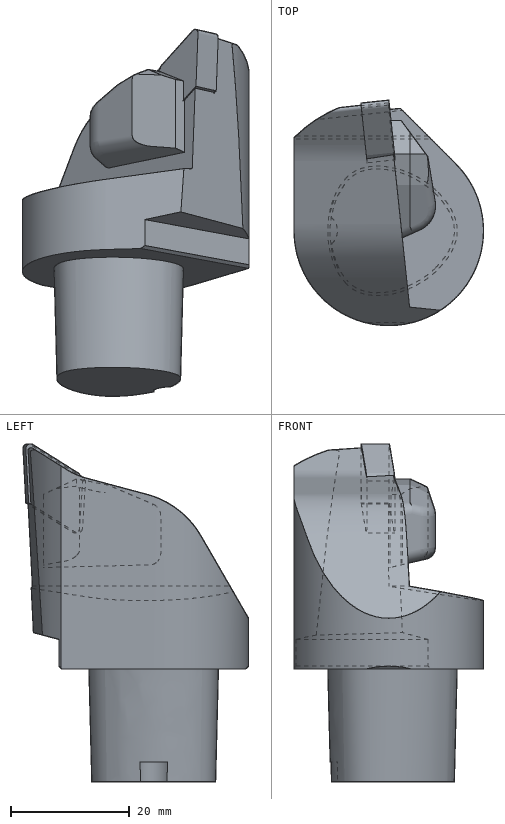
import cadquery as cq
import math

flange_radius = 16.0
seat_chamfer = 0.5
shank_length = 19.0
shank_mean_radius = 10.93
lobe_height = 0.63
shank_taper = 1 / 40
crest_half_angle = 22.5
steps_per_curve = 6
key_groove_radius = 3.0
key_groove_width = 4.75
key_groove_height = 3.35

back_slope = 60.0
top_slope = 15.0
tip_slope = 32.0
shoulder_radius = 15.0
shoulder_end_y = 1.15
shoulder_end_z = 29.5
valley_start_y = 11.7
valley_radius = 10.0
overhang_z = 5.0
overhang_slope = 15.0

swing_radius = 22.4
swing_middle = 110.0
insert_turn = 6.0
platform_x = 2.15
platform_z = 14.0
platform_slope = 10.0
end_lean = 3.0
end_reference_y = 21.1
end_reference_z = 27.8
tip_fillet = 0.5
tip_edge_point = (-3.0, 21.3, 37.6)

insert_side = 10.65
insert_angle = 55.0
insert_thickness = 4.76
insert_x = -2.43
insert_lean = 3.0
heel_length = 1.2
heel_slope = 48.0
nose_radius = 0.8
nose_y = 21.95
nose_z = 38.0

clamp_heel_y = -2.2
clamp_heel_angle = 24.0
clamp_outer_x = 8.4
clamp_shoulder_x = 6.6
clamp_shoulder_y = 12.5
clamp_toe_x = 2.1
clamp_toe_y = 18.6
clamp_corner_radius = 4.5
clamp_bottom_z = 17.1
clamp_bottom_slope = 13.0
clamp_heel_z = 26.85
clamp_bend_y = 7.7
clamp_bend_z = 31.05
clamp_ridge_y = 13.0
clamp_ridge_z = 32.1
clamp_toe_z = 29.5
clamp_crest_x = 3.6
clamp_fall = 25.0
clamp_edge_fillet = 2.0

reach = 60.0


def sin(degrees):
    return math.sin(math.radians(degrees))


def cos(degrees):
    return math.cos(math.radians(degrees))


def tan(degrees):
    return math.tan(math.radians(degrees))


def turned(shape):
    """Turn a shape about Z from the insert frame into the part frame."""
    return shape.rotate((0, 0, 0), (0, 0, 1), insert_turn)


def lobe_point(angle, mean_radius):
    """Point of the constant-width three-lobed outline with its first lobe on +X."""
    support = mean_radius + lobe_height * cos(3 * angle)
    slope = -3 * lobe_height * sin(3 * angle)
    return (
        support * cos(angle) - slope * sin(angle),
        support * sin(angle) + slope * cos(angle),
    )


def lobe_wire(mean_radius, z):
    """Closed outline of six curves: a crest and a flank for each lobe."""
    edges = []
    for lobe in (0, 120, 240):
        spans = (
            (lobe - crest_half_angle, lobe + crest_half_angle),
            (lobe + crest_half_angle, lobe + 120 - crest_half_angle),
        )
        for first, last in spans:
            angles = [first + (last - first) * step / steps_per_curve for step in range(steps_per_curve + 1)]
            points = [cq.Vector(*lobe_point(angle, mean_radius), z) for angle in angles]
            ends = [cq.Vector(-sin(angle), cos(angle), 0) for angle in (first, last)]
            edges.append(cq.Edge.makeSpline(points, tangents=ends))
    return cq.Wire.assembleEdges(edges)


def make_shank():
    """Tapered lobed shank with a key groove at its lower end on the -X side."""
    end_radius = shank_mean_radius - shank_length * shank_taper
    wires = [lobe_wire(shank_mean_radius, 0), lobe_wire(end_radius, -shank_length)]
    shank = cq.Workplane(cq.Solid.makeLoft(wires, True))
    surface_x = -(end_radius - lobe_height)
    groove_x = surface_x - math.sqrt(key_groove_radius**2 - (key_groove_width / 2) ** 2)
    groove = (
        cq.Workplane("XY", origin=(groove_x, 0, -shank_length))
        .circle(key_groove_radius)
        .extrude(key_groove_height)
    )
    return shank.cut(groove)


def make_blank():
    """Upright prism: round at -Y, flat at -X, swing arc at +Y and a 45 degree flank."""
    corner_y = math.sqrt(swing_radius**2 - flange_radius**2)
    swing_point = (swing_radius * cos(swing_middle), swing_radius * sin(swing_middle))
    flank = flange_radius * cos(45)
    return (
        cq.Workplane("XY")
        .moveTo(-flange_radius, 0)
        .lineTo(-flange_radius, corner_y)
        .threePointArc(swing_point, (0, swing_radius))
        .lineTo(2 * flank - swing_radius, swing_radius)
        .lineTo(flank, flank)
        .threePointArc((flank, -flank), (0, -flange_radius))
        .threePointArc((-flank, -flank), (-flange_radius, 0))
        .close()
        .extrude(nose_z)
    )


def make_side_profile():
    """Side profile of flange and head, swept along X."""
    center_y = shoulder_end_y + shoulder_radius * sin(top_slope)
    center_z = shoulder_end_z - shoulder_radius * cos(top_slope)

    def on_shoulder(slope):
        return (center_y - shoulder_radius * sin(slope), center_z + shoulder_radius * cos(slope))

    valley_start_z = shoulder_end_z + (valley_start_y - shoulder_end_y) * tan(top_slope)
    valley_center_y = valley_start_y - valley_radius * sin(top_slope)
    valley_center_z = valley_start_z + valley_radius * cos(top_slope)

    def in_valley(slope):
        return (valley_center_y + valley_radius * sin(slope), valley_center_z - valley_radius * cos(slope))

    back_y, back_z = on_shoulder(back_slope)
    back_bottom_z = back_z - (back_y + flange_radius) * tan(back_slope)
    tip_start_y, tip_start_z = in_valley(tip_slope)
    tip_end_z = tip_start_z + (swing_radius - tip_start_y) * tan(tip_slope)
    overhang_end_z = overhang_z + (swing_radius - flange_radius) * tan(overhang_slope)
    return (
        cq.Workplane("YZ", origin=(-reach / 2, 0, 0))
        .moveTo(-flange_radius + seat_chamfer, 0)
        .lineTo(-flange_radius, seat_chamfer)
        .lineTo(-flange_radius, back_bottom_z)
        .lineTo(back_y, back_z)
        .threePointArc(on_shoulder((back_slope + top_slope) / 2), on_shoulder(top_slope))
        .lineTo(valley_start_y, valley_start_z)
        .threePointArc(in_valley((top_slope + tip_slope) / 2), (tip_start_y, tip_start_z))
        .lineTo(swing_radius, tip_end_z)
        .lineTo(swing_radius, overhang_end_z)
        .lineTo(flange_radius, overhang_z)
        .lineTo(flange_radius, seat_chamfer)
        .lineTo(flange_radius - seat_chamfer, 0)
        .close()
        .extrude(reach)
    )


def make_end_trim():
    """Space beyond the leaning +Y end face of the head, square to the insert."""

    def end_y(z):
        return end_reference_y + (z - end_reference_z) * tan(end_lean)

    return turned(
        cq.Workplane("YZ", origin=(-reach / 2, 0, 0))
        .polyline([(end_y(0), 0), (reach, 0), (reach, reach), (end_y(reach), reach)])
        .close()
        .extrude(reach)
    )


def make_platform_cut():
    """Space beside the upright wall, above the sloping platform."""
    outer_z = platform_z - (reach - platform_x) * tan(platform_slope)
    return turned(
        cq.Workplane("XZ", origin=(0, reach / 2, 0))
        .polyline([(platform_x, platform_z), (reach, outer_z), (reach, reach), (platform_x, reach)])
        .close()
        .extrude(reach)
    )


def make_clamp():
    """Clamp block with a top that is level by the wall and falls away outside the crest line."""
    heel_outer_y = clamp_heel_y + clamp_outer_x * tan(clamp_heel_angle)
    plan = (
        cq.Workplane("XY")
        .polyline([
            (0, clamp_heel_y),
            (clamp_outer_x, heel_outer_y),
            (clamp_shoulder_x, clamp_shoulder_y),
            (clamp_toe_x, clamp_toe_y),
            (0, clamp_toe_y),
        ])
        .close()
        .extrude(nose_z)
        .edges(cq.NearestToPointSelector((clamp_outer_x, heel_outer_y, nose_z / 2)))
        .fillet(clamp_corner_radius)
    )
    crest = [
        (clamp_heel_y, clamp_heel_z),
        (clamp_bend_y, clamp_bend_z),
        (clamp_ridge_y, clamp_ridge_z),
        (clamp_toe_y, clamp_toe_z),
    ]
    side = cq.Workplane("YZ").polyline([(clamp_heel_y, 0), *crest, (clamp_toe_y, 0)]).close()
    level_part = side.extrude(clamp_crest_x)
    fall = cq.Vector(1, 0, -tan(clamp_fall)) * clamp_outer_x
    outline = cq.Wire.makePolygon(
        [cq.Vector(clamp_crest_x, y, z) for y, z in [(clamp_heel_y, -reach), *crest, (clamp_toe_y, -reach)]],
        close=True,
    )
    falling_part = cq.Workplane(cq.Solid.extrudeLinear(outline, [], fall))
    bottom = (
        cq.Workplane("XZ", origin=(0, reach / 2, 0))
        .polyline([
            (0, clamp_bottom_z),
            (clamp_outer_x, clamp_bottom_z + clamp_outer_x * tan(clamp_bottom_slope)),
            (clamp_outer_x, 0),
            (0, 0),
        ])
        .close()
        .extrude(reach)
    )
    clamp = plan.intersect(level_part.union(falling_part)).cut(bottom)
    heel_middle = (clamp_toe_x, clamp_heel_y + clamp_toe_x * tan(clamp_heel_angle), nose_z / 2)
    side_middle = (clamp_outer_x, (clamp_shoulder_y + heel_outer_y) / 2, nose_z / 2)

    def rims(block, is_rim):
        walls = [block.faces(cq.NearestToPointSelector(point)) for point in (heel_middle, side_middle)]
        edges = walls[0].edges().filter(is_rim).vals() + walls[1].edges().filter(is_rim).vals()
        return block.newObject(edges)

    def is_top(edge):
        return edge.Center().z > clamp_heel_z - 1

    def is_bottom(edge):
        return edge.Center().z < clamp_bottom_z + 4

    clamp = rims(clamp, is_top).fillet(clamp_edge_fillet)
    return rims(clamp, is_bottom).fillet(clamp_edge_fillet)


def insert_corners():
    """Sharp corners in the turned YZ plane: cutting tip, lower corner, far corner, rear corner."""
    middle_lean = insert_lean + insert_angle / 2
    tip_reach = nose_radius / sin(insert_angle / 2)
    tip = cq.Vector(
        nose_y - nose_radius + tip_reach * sin(middle_lean),
        nose_z - nose_radius + tip_reach * cos(middle_lean),
    )
    end_side = cq.Vector(-sin(insert_lean), -cos(insert_lean)) * insert_side
    top_side = cq.Vector(-sin(insert_lean + insert_angle), -cos(insert_lean + insert_angle)) * insert_side
    return [tip, tip + end_side, tip + end_side + top_side, tip + top_side]


def insert_plate(corners):
    """Plate of the insert's thickness in the insert's plane."""
    outline = [(corner.x, corner.y) for corner in corners]
    return cq.Workplane("YZ", origin=(insert_x, 0, 0)).polyline(outline).close().extrude(insert_thickness)


def make_insert():
    """Rhombic insert with rounded sharp corners and a sloping heel behind its top edge."""
    tip, lower, far, rear = insert_corners()
    heel = rear - cq.Vector(1, tan(heel_slope)) * heel_length
    plate = insert_plate([tip, lower, far, heel, rear])
    for corner in (tip, far):
        plate = plate.edges(cq.NearestToPointSelector((insert_x + insert_thickness / 2, corner.x, corner.y)))
        plate = plate.fillet(nose_radius)
    return turned(plate)


insert = make_insert()
head = make_blank().intersect(make_side_profile()).cut(make_end_trim()).cut(make_platform_cut())
head = head.edges(cq.NearestToPointSelector(tip_edge_point)).fillet(tip_fillet)
holder = head.union(make_shank()).union(make_clamp()).cut(insert)
result = cq.Compound.makeCompound([holder.val(), insert.val()])